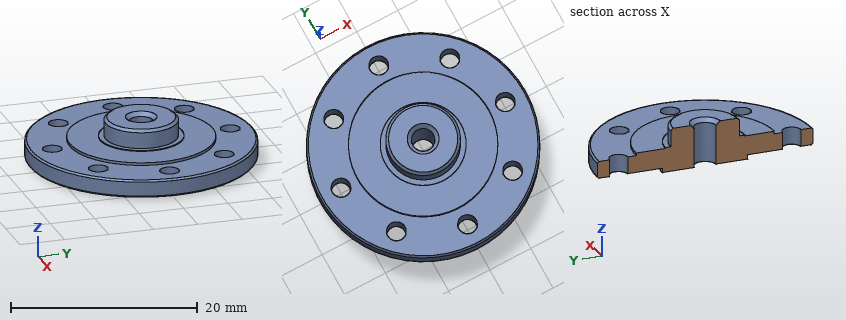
import cadquery as cq
import math

spigot_height = 0.5
flange_thickness = 2.0
pad_height = 0.3
collar_height = 0.1
total_height = 5.0

spigot_diameter = 9.9
flange_diameter = 25.0
pad_diameter = 16.0
collar_diameter = 9.2
boss_diameter = 8.0
bore_diameter = 2.5
bore_mouth_diameter = 3.4

hole_count = 8
hole_circle_diameter = 20.0
hole_diameter = 2.1

flange_chamfer = 0.2
boss_chamfer = 0.3

flange_top = spigot_height + flange_thickness
pad_top = flange_top + pad_height
collar_top = pad_top + collar_height


def disc(diameter, bottom, top):
    """Upright cylinder on the part axis between two heights."""
    return cq.Workplane("XY").workplane(offset=bottom).circle(diameter / 2).extrude(top - bottom)


spigot = disc(spigot_diameter, 0, spigot_height)
flange = disc(flange_diameter, spigot_height, flange_top).edges().chamfer(flange_chamfer)
pad = disc(pad_diameter, flange_top, pad_top)
collar = disc(collar_diameter, pad_top, collar_top)
boss = disc(boss_diameter, collar_top, total_height).faces(">Z").edges().chamfer(boss_chamfer)
body = flange.union(spigot).union(pad).union(collar).union(boss)

bore_chamfer = (bore_mouth_diameter - bore_diameter) / 2
bore = disc(bore_diameter, 0, total_height)
countersink = (
    cq.Workplane("XY")
    .workplane(offset=total_height)
    .circle(bore_mouth_diameter / 2)
    .workplane(offset=-bore_chamfer)
    .circle(bore_diameter / 2)
    .loft()
)
body = body.cut(bore).cut(countersink)

flange_hole = disc(hole_diameter, spigot_height, flange_top)
for index in range(hole_count):
    angle = 2 * math.pi * index / hole_count
    x = hole_circle_diameter / 2 * math.cos(angle)
    y = hole_circle_diameter / 2 * math.sin(angle)
    body = body.cut(flange_hole.translate((x, y, 0)))

result = body